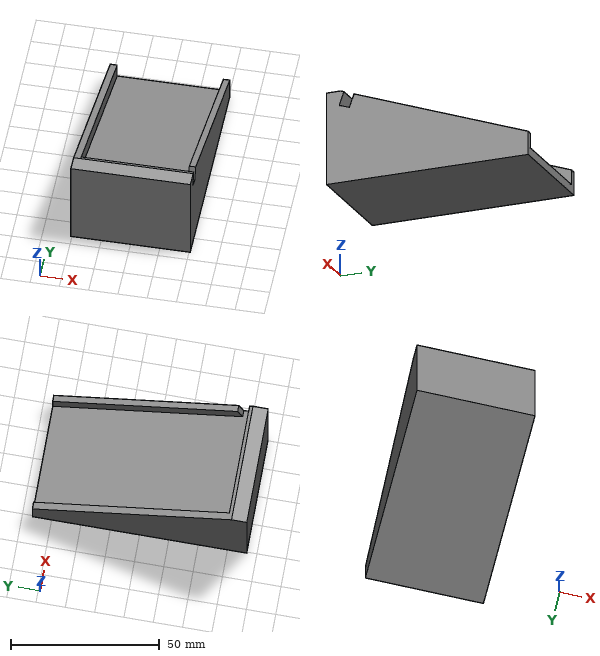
import cadquery as cq
import math

width = 40.85
length = 73.2
height = 33.0
ledge_depth = 5.2
slope_angle = 19.9

tray_depth = 5.0
left_rail = 2.4
right_rail = 2.2
sill_run = 1.2
notch_run = 3.65

slope = math.radians(slope_angle)
rear_height = height - (length - ledge_depth) * math.tan(slope)
cut_length = 2 * length


def wedge():
    """Solid body: flat ledge at the front, sloping down to the rear."""
    return (
        cq.Workplane("YZ")
        .polyline([(0, 0), (length, 0), (length, rear_height), (ledge_depth, height), (0, height)])
        .close()
        .extrude(width)
    )


def slope_cut(x_start, x_end, run_length):
    """Block square to the slope, from the sill's edge down the slope."""
    sill_edge_y = ledge_depth + sill_run
    sill_edge_z = height - sill_run * math.tan(slope)
    return (
        cq.Workplane("XY")
        .box(x_end - x_start, run_length, 2 * tray_depth, centered=(False, False, True))
        .rotate((0, 0, 0), (1, 0, 0), -slope_angle)
        .translate((x_start, sill_edge_y, sill_edge_z))
    )


tray = slope_cut(left_rail, width - right_rail, cut_length)
notch = slope_cut(left_rail, width, notch_run / math.cos(slope))

result = wedge().cut(tray).cut(notch)